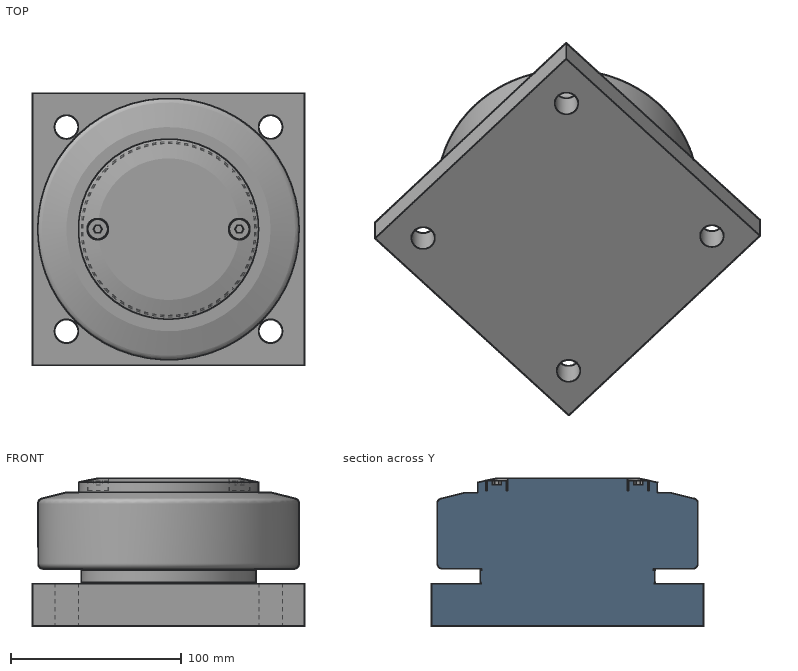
import cadquery as cq
import math

plate_side = 160.0
plate_thickness = 25.0
mount_hole_diameter = 13.8
mount_hole_spacing = 120.0

total_height = 87.0
neck_radius = 103.0 / 2
neck_chamfer = 0.8
neck_groove_radius = 101.1 / 2
neck_groove_width = 0.6
drum_radius = 76.8
drum_bottom = 33.6
drum_edge_radius = 3.2
shoulder_radius = 60.0
shoulder_height = 78.7
shoulder_slope = math.radians(14)
cap_radius = 106.0 / 2
cap_rim_height = 84.6
cap_flat_radius = 41.6

screw_offset = cap_flat_radius
counterbore_diameter = 12.5
counterbore_depth = 7.2
head_diameter = 11.7
head_recess = 1.5
socket_corner_diameter = 5.1
socket_depth = 2.4


def make_plate():
    plate = cq.Workplane("XY").box(plate_side, plate_side, plate_thickness, centered=(True, True, False))
    holes = plate.faces(">Z").workplane().rect(mount_hole_spacing, mount_hole_spacing, forConstruction=True)
    return holes.vertices().hole(mount_hole_diameter)


def make_round_body():
    """Revolve neck, drum with conical shoulder, and cap with conical top."""
    drum_corner_height = shoulder_height - (drum_radius - shoulder_radius) * math.tan(shoulder_slope)
    neck_height = drum_bottom - neck_groove_width - plate_thickness
    neck = cq.Workplane("XY", origin=(0, 0, plate_thickness)).circle(neck_radius).extrude(neck_height)
    neck = neck.faces("<Z").chamfer(neck_chamfer)
    core = cq.Workplane("XY").circle(neck_groove_radius).extrude(shoulder_height)
    drum = (
        cq.Workplane("XZ")
        .moveTo(0, drum_bottom)
        .lineTo(drum_radius, drum_bottom)
        .lineTo(drum_radius, drum_corner_height)
        .lineTo(shoulder_radius, shoulder_height)
        .lineTo(0, shoulder_height)
        .close()
        .revolve(360, (0, 0), (0, 1))
    )
    outer_edges = cq.selectors.RadiusNthSelector(-1)
    drum = drum.edges(outer_edges).fillet(drum_edge_radius)
    cap = (
        cq.Workplane("XZ")
        .moveTo(0, shoulder_height)
        .lineTo(cap_radius, shoulder_height)
        .lineTo(cap_radius, cap_rim_height)
        .lineTo(cap_flat_radius, total_height)
        .lineTo(0, total_height)
        .close()
        .revolve(360, (0, 0), (0, 1))
    )
    return core.union(neck).union(drum).union(cap)


def add_screw(body, x):
    """Cut a counterbore and stand a hex-socket screw head in it."""
    floor = total_height - counterbore_depth
    head_height = counterbore_depth - head_recess
    bore = cq.Workplane("XY", origin=(x, 0, floor)).circle(counterbore_diameter / 2).extrude(counterbore_depth)
    head = cq.Workplane("XY", origin=(x, 0, floor)).circle(head_diameter / 2).extrude(head_height)
    head = head.faces(">Z").workplane().polygon(6, socket_corner_diameter).cutBlind(-socket_depth)
    return body.cut(bore).union(head)


result = make_plate().union(make_round_body())
for side in (-1, 1):
    result = add_screw(result, side * screw_offset)